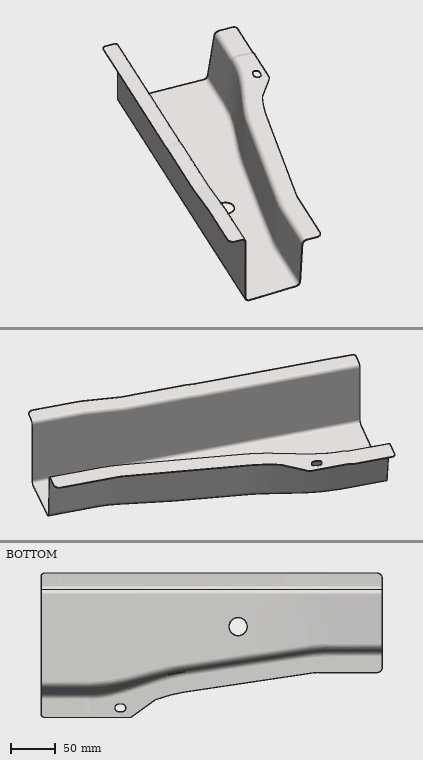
import cadquery as cq
import math

LENGTH = 382.0
WIDTH = 161.82
HEIGHT = 91.18
SHEET = 1.2

STRAIGHT_WALL_Y = 19.7
STRAIGHT_TOP_RADIUS = 5.0
STRAIGHT_FLOOR_RADIUS = 4.2
STRAIGHT_FLANGE_LEVELS = [
    (0, 85.3),
    (19.6, 85.3),
    (22.2, 85.5),
    (188.5, 85.5),
    (196.5, 86.3),
    (272.8, 86.3),
    (320.0, HEIGHT),
    (LENGTH, HEIGHT),
]

CURVED_TOP_RADIUS = 6.5
CURVED_FLOOR_RADIUS = 5.3
CURVE_START_X = 54.3
CURVE_END_X = 160.5
BEND_START_X = 299.0
BEND_END_X = 322.5
WALL_TOP_START_Y = 136.0
WALL_FOOT_START_Y = 126.5
WALL_TOP_CURVE_END_Y = 109.8
WALL_FOOT_CURVE_END_Y = 106.4
WALL_TOP_END_Y = 87.5
WALL_FOOT_END_Y = 84.1

CURVED_FLANGE_Z = 67.6
FLANGE_STEP_HEIGHT = 1.5
FLANGE_STEP_START_X = 49.2

TWIST_START_X = 239.0
TWIST_END_X = BEND_END_X
END_TILT = 0.055
SEAM_CLEARANCE = 0.4
SEAM_Y = STRAIGHT_WALL_Y + STRAIGHT_FLOOR_RADIUS + SEAM_CLEARANCE

EAR_END_X = 100.4
NECK_X, NECK_Y = 128.0, 142.0
TAPER_START_X, TAPER_START_Y = 160.0, 133.5
TAPER_END_X = 300.0
END_FLAT_START_X = 313.0
NECK_SAG = 0.8
TAPER_SAG = 0.4
END_FLANGE_Y = 111.7
TAPER_END_Y = 112.6
END_CORNER_RADIUS = 6.5
START_CORNER_RADIUS = 4.0
TRIM_MARGIN = 10.0

SLOT_X, SLOT_Y = 88.8, 151.0
SLOT_LENGTH, SLOT_WIDTH = 12.0, 8.4
HOLE_X, HOLE_Y = 220.5, 60.1
HOLE_DIAMETER = 20.0

CURVE_SECTIONS = 7


def blend(x, x0, x1, y0, y1, slope0, slope1):
    """Cubic from (x0, y0) to (x1, y1) with the given end slopes."""
    span = x1 - x0
    t = (x - x0) / span
    ends = y0 + (y1 - y0) * (3 * t**2 - 2 * t**3)
    return ends + span * (slope0 * (t - 2 * t**2 + t**3) + slope1 * (t**3 - t**2))


def wall_line(x, start_y, curve_end_y, end_y):
    """Y of a curved-wall corner: straight, S-curve, straight taper, bend, straight."""
    bend_span = BEND_END_X - BEND_START_X
    slope = (end_y - curve_end_y) / (BEND_START_X - CURVE_END_X + bend_span / 2)
    if x <= CURVE_START_X:
        return start_y
    if x < CURVE_END_X:
        return blend(x, CURVE_START_X, CURVE_END_X, start_y, curve_end_y, 0, slope)
    if x <= BEND_START_X:
        return curve_end_y + slope * (x - CURVE_END_X)
    if x < BEND_END_X:
        bend_start_y = end_y - slope * bend_span / 2
        return blend(x, BEND_START_X, BEND_END_X, bend_start_y, end_y, slope, 0)
    return end_y


def curved_flange_level(x):
    """Z of the curved wall's flange, which ramps up to full height where the curve starts."""
    ramp = (x - FLANGE_STEP_START_X) / (CURVE_START_X - FLANGE_STEP_START_X)
    return CURVED_FLANGE_Z - FLANGE_STEP_HEIGHT * (1 - min(max(ramp, 0), 1))


def straight_flange_level(x):
    """Z of the straight wall's flange, linear between its levels."""
    for (x0, z0), (x1, z1) in zip(STRAIGHT_FLANGE_LEVELS, STRAIGHT_FLANGE_LEVELS[1:]):
        if x <= x1:
            return z0 + (z1 - z0) * (x - x0) / (x1 - x0)


def floor_tilt(x):
    """Rise of the floor per unit of Y, growing evenly along the twisted stretch."""
    twist = (x - TWIST_START_X) / (TWIST_END_X - TWIST_START_X)
    return END_TILT * min(max(twist, 0), 1)


def floor_level(x, y):
    """Z of the floor's upper face, which pivots about the foot of the straight wall."""
    return SHEET + floor_tilt(x) * (y - STRAIGHT_WALL_Y)


def unit(start, end):
    return (end - start).normalized()


def sheet_section(x, points, top_radius, foot_radius):
    """Closed section at x: flange end, top corner, foot corner, floor end.

    The points are (y, z) on the upper face.
    """
    flange_end, top, foot, floor_end = [cq.Vector(x, y, z) for y, z in points]
    drop = cq.Vector(0, 0, -SHEET)

    def rounded(corner, before, after, upper_radius, lower_radius):
        """Start, middle and end of the bend on the upper face, then on the lower face."""
        back = unit(corner, before)
        ahead = unit(corner, after)
        half = back.getAngle(ahead) / 2
        centre_side = (back + ahead).normalized()
        centre = corner + centre_side * (upper_radius / math.sin(half))
        reach = upper_radius / math.tan(half)
        start = corner + back * reach
        end = corner + ahead * reach
        upper = [start, centre - centre_side * upper_radius, end]
        lower = [centre + (p - centre) * (lower_radius / upper_radius) for p in upper]
        return upper, lower

    top_upper, top_lower = rounded(top, flange_end, foot, top_radius, top_radius - SHEET)
    foot_upper, foot_lower = rounded(foot, top, floor_end, foot_radius, foot_radius + SHEET)
    edges = [
        cq.Edge.makeLine(flange_end, top_upper[0]),
        cq.Edge.makeThreePointArc(*top_upper),
        cq.Edge.makeLine(top_upper[2], foot_upper[0]),
        cq.Edge.makeThreePointArc(*foot_upper),
        cq.Edge.makeLine(foot_upper[2], floor_end),
        cq.Edge.makeLine(floor_end, floor_end + drop),
        cq.Edge.makeLine(floor_end + drop, foot_lower[2]),
        cq.Edge.makeThreePointArc(*reversed(foot_lower)),
        cq.Edge.makeLine(foot_lower[0], top_lower[2]),
        cq.Edge.makeThreePointArc(*reversed(top_lower)),
        cq.Edge.makeLine(top_lower[0], flange_end + drop),
        cq.Edge.makeLine(flange_end + drop, flange_end),
    ]
    return cq.Wire.assembleEdges(edges)


def curved_section(x):
    top_y = wall_line(x, WALL_TOP_START_Y, WALL_TOP_CURVE_END_Y, WALL_TOP_END_Y)
    foot_y = wall_line(x, WALL_FOOT_START_Y, WALL_FOOT_CURVE_END_Y, WALL_FOOT_END_Y)
    flange_z = curved_flange_level(x)
    lean = (top_y - foot_y) / (CURVED_FLANGE_Z - SHEET)
    top_y += lean * (flange_z - CURVED_FLANGE_Z)
    tilt = floor_tilt(x)
    climb = tilt * (foot_y - STRAIGHT_WALL_Y) / (1 - tilt * lean)
    foot_y += lean * climb
    points = [
        (WIDTH + TRIM_MARGIN, flange_z),
        (top_y, flange_z),
        (foot_y, SHEET + climb),
        (SEAM_Y, floor_level(x, SEAM_Y)),
    ]
    return sheet_section(x, points, CURVED_TOP_RADIUS, CURVED_FLOOR_RADIUS)


def straight_section(x):
    flange_z = straight_flange_level(x)
    points = [
        (-TRIM_MARGIN, flange_z),
        (STRAIGHT_WALL_Y, flange_z),
        (STRAIGHT_WALL_Y, SHEET),
        (SEAM_Y, floor_level(x, SEAM_Y)),
    ]
    return sheet_section(x, points, STRAIGHT_TOP_RADIUS, STRAIGHT_FLOOR_RADIUS)


def straight_stretch(section, x0, x1):
    return cq.Solid.makeLoft([section(x0), section(x1)], True)


def smooth_stretch(section, x0, x1):
    step = (x1 - x0) / (CURVE_SECTIONS - 1)
    return cq.Solid.makeLoft([section(x0 + step * i) for i in range(CURVE_SECTIONS)])


def curved_side():
    return [
        straight_stretch(curved_section, 0, FLANGE_STEP_START_X),
        straight_stretch(curved_section, FLANGE_STEP_START_X, CURVE_START_X),
        smooth_stretch(curved_section, CURVE_START_X, CURVE_END_X),
        straight_stretch(curved_section, CURVE_END_X, TWIST_START_X),
        straight_stretch(curved_section, TWIST_START_X, BEND_START_X),
        smooth_stretch(curved_section, BEND_START_X, BEND_END_X),
        straight_stretch(curved_section, BEND_END_X, LENGTH),
    ]


def straight_side():
    level_stations = [x for x, _ in STRAIGHT_FLANGE_LEVELS]
    stations = sorted(level_stations + [TWIST_START_X, TWIST_END_X])
    return [straight_stretch(straight_section, x0, x1) for x0, x1 in zip(stations, stations[1:])]


def plan_outline():
    """Prism with the part's outline in plan, used to trim both flanges."""
    neck_mid = ((NECK_X + TAPER_START_X) / 2, (NECK_Y + TAPER_START_Y) / 2 - NECK_SAG)
    taper_mid = ((TAPER_END_X + END_FLAT_START_X) / 2, (TAPER_END_Y + END_FLANGE_Y) / 2 - TAPER_SAG)
    prism = (
        cq.Workplane("XY")
        .lineTo(LENGTH, 0)
        .lineTo(LENGTH, END_FLANGE_Y)
        .lineTo(END_FLAT_START_X, END_FLANGE_Y)
        .threePointArc(taper_mid, (TAPER_END_X, TAPER_END_Y))
        .lineTo(TAPER_START_X, TAPER_START_Y)
        .threePointArc(neck_mid, (NECK_X, NECK_Y))
        .lineTo(EAR_END_X, WIDTH)
        .lineTo(0, WIDTH)
        .close()
        .extrude(HEIGHT)
    )
    prism = prism.edges("|Z and <X").fillet(START_CORNER_RADIUS)
    return prism.edges("|Z and >X").fillet(END_CORNER_RADIUS)


def cutters():
    slot = cq.Workplane("XY").center(SLOT_X, SLOT_Y).slot2D(SLOT_LENGTH, SLOT_WIDTH).extrude(HEIGHT)
    hole = cq.Workplane("XY").center(HOLE_X, HOLE_Y).circle(HOLE_DIAMETER / 2).extrude(HEIGHT)
    return slot.union(hole)


def channel():
    """Both sides joined along the floor seam, with flanges still oversize."""
    first, *others = curved_side() + straight_side()
    return cq.Workplane(first.fuse(*others))


result = channel().intersect(plan_outline()).cut(cutters()).clean()